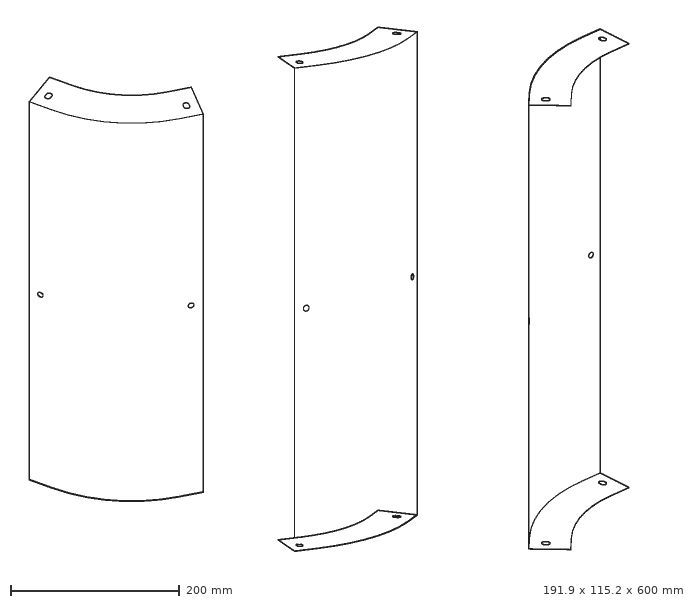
import cadquery as cq
import math

height = 600.0
sheet = 0.7
bend_radius = 199.0
bend_angle = 45.0
flat_length = 30.0
flange_depth = 50.5

wall_hole_diameter = 7.0
slot_width = 7.0
slot_length = 10.0
slot_inset = 20.5
hole_setback = flat_length / 2

bend_centre = (flat_length, bend_radius)


def outline_point(angle, inset, past_bend=0.0):
    """Point at a bend angle, inset from the outer face, then moved along the tangent."""
    a = math.radians(angle)
    radius = bend_radius - inset
    x = bend_centre[0] + radius * math.sin(a) + past_bend * math.cos(a)
    y = bend_centre[1] - radius * math.cos(a) + past_bend * math.sin(a)
    return (x, y)


def curved_strip(depth, thickness, base_z):
    """Strip following the outer face, `depth` inwards and `thickness` upwards."""
    return (
        cq.Workplane("XY", origin=(0, 0, base_z))
        .moveTo(*outline_point(0, 0, -flat_length))
        .lineTo(*outline_point(0, 0))
        .threePointArc(outline_point(bend_angle / 2, 0), outline_point(bend_angle, 0))
        .lineTo(*outline_point(bend_angle, 0, flat_length))
        .lineTo(*outline_point(bend_angle, depth, flat_length))
        .lineTo(*outline_point(bend_angle, depth))
        .threePointArc(outline_point(bend_angle / 2, depth), outline_point(0, depth))
        .lineTo(*outline_point(0, depth, -flat_length))
        .close()
        .extrude(thickness)
    )


def flange_slot(angle, past_bend):
    """Cutter for a slot pointing across both flanges."""
    x, y = outline_point(angle, slot_inset, past_bend)
    return (
        cq.Workplane("XY")
        .center(x, y)
        .slot2D(slot_length, slot_width, angle + 90)
        .extrude(height)
    )


def wall_hole(angle, past_bend):
    """Cutter for a round hole square to the wall at mid height."""
    a = math.radians(angle)
    x, y = outline_point(angle, -sheet, past_bend)
    inward = cq.Vector(-math.sin(a), math.cos(a), 0)
    start = cq.Vector(x, y, height / 2)
    return cq.Workplane(cq.Solid.makeCylinder(wall_hole_diameter / 2, 3 * sheet, start, inward))


wall = curved_strip(sheet, height, 0)
bottom_flange = curved_strip(flange_depth, sheet, 0)
top_flange = curved_strip(flange_depth, sheet, height - sheet)
result = wall.union(bottom_flange).union(top_flange)

edge_offset = flat_length - hole_setback
for angle, past_bend in ((0, -edge_offset), (bend_angle, edge_offset)):
    result = result.cut(flange_slot(angle, past_bend))
    result = result.cut(wall_hole(angle, past_bend))